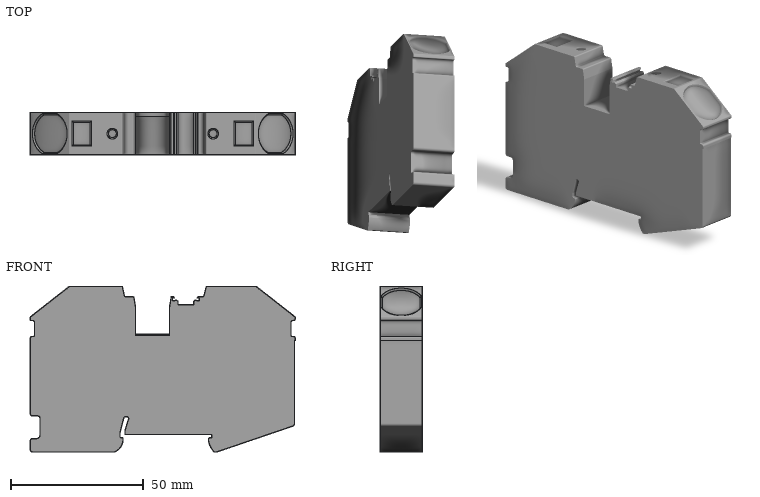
import cadquery as cq
import math

LENGTH = 100.0
WIDTH = 16.0
HEIGHT = 62.5
MID_X = LENGTH / 2

SHOULDER_Z = 50.9
SHOULDER_RUN = 14.8
SHOULDER_RISE = HEIGHT - SHOULDER_Z
SHOULDER_ANGLE = math.degrees(math.atan2(SHOULDER_RISE, SHOULDER_RUN))
SLOPE_LENGTH = math.hypot(SHOULDER_RUN, SHOULDER_RISE)
TOP_INNER_LEFT = 34.8
TOP_INNER_RIGHT = 66.4
CORNER_RADIUS = 0.5

GROOVE_DEPTH = 1.6
GROOVE_TOP = 49.6
GROOVE_BOTTOM = 43.6
EDGE_RADIUS = 0.7
GROOVE_SMALL_RADIUS = 0.3
RIGHT_WALL_X = LENGTH - 0.3
RIGHT_BEAD_BOTTOM = 42.0

NOTCH_DEPTH = 3.7
NOTCH_BOTTOM = 5.1
NOTCH_TOP = 13.6
NOTCH_RADIUS = 0.9
NOTCH_FLOOR_RADIUS = 1.4

SLOT_LEFT = 39.8
SLOT_RIGHT = 52.5
SLOT_FLOOR = 43.9
SLOT_BEND_Z = 54.6
LEDGE_WIDTH = 1.5
LEDGE_HEIGHT = 0.6

STEP_Z = 58.6
STEP_INNER_LEFT = 35.6
STEP_OUTER_LEFT = 39.1
STEP_INNER_RIGHT = 65.4
CLIP_X = 58.7
CLIP_FLOOR = 55.6

RAIL_Z = 6.6
HOOK_Z = 5.4

POCKET_DEPTH = 0.5
POCKET_TAPER = 45
WIRE_DEPTH = 0.7
WIRE_INSET = 0.5
WIRE_TAPER = math.degrees(math.atan2(WIRE_INSET, WIRE_DEPTH))
WIRE_DIAMETER = 16.6
WIRE_FLATS = 15.1
WINDOW_X = 19.4
WINDOW_SIZE = (7.3, 9.4)
SCREW_X = 31.0
SCREW_FLOOR_DIAMETER = 3.0
SCREW_RIM_DIAMETER = SCREW_FLOOR_DIAMETER + 2 * POCKET_DEPTH


def clip_half(side):
    """Points of one half of the clip channel, from the tip down to the floor; side is -1 or +1."""
    tip_to_floor = [
        (4.6, STEP_Z),
        (4.3, 58.0),
        (5.0, 58.0),
        (5.0, 57.1),
        (4.3, 57.1),
        (3.6, 57.4),
        (2.9, 56.8),
        (2.9, CLIP_FLOOR),
    ]
    return [(CLIP_X + side * offset, z) for offset, z in tip_to_floor]


def body():
    """Side outline in the XZ plane, extruded over the full width."""
    r = EDGE_RADIUS
    n = NOTCH_RADIUS
    f = NOTCH_FLOOR_RADIUS
    groove_right = LENGTH - GROOVE_DEPTH
    outline = (
        cq.Workplane("XZ")
        .moveTo(n, 0)
        .lineTo(31.8, 0)
        .threePointArc((34.3, 2.1), (35.1, 4.9))
        .lineTo(34.9, HOOK_Z)
        .lineTo(34.2, HOOK_Z)
        .lineTo(33.9, 5.7)
        .lineTo(33.9, 7.2)
        .lineTo(35.3, 12.7)
        .threePointArc((35.5, 13.1), (35.9, 13.3))
        .lineTo(36.6, 13.3)
        .threePointArc((36.9, 13.1), (36.9, 12.0))
        .lineTo(35.7, 8.0)
        .lineTo(35.7, RAIL_Z)
        .lineTo(68.4, RAIL_Z)
        .lineTo(68.4, HOOK_Z)
        .lineTo(67.6, HOOK_Z)
        .lineTo(67.2, 5.1)
        .lineTo(67.2, 4.2)
        .threePointArc((67.9, 2.1), (69.4, 0))
        .lineTo(70.4, 0)
        .lineTo(98.9, 9.7)
        .threePointArc((99.5, 10.1), (RIGHT_WALL_X, 10.8))
        .lineTo(RIGHT_WALL_X, RIGHT_BEAD_BOTTOM)
        .lineTo(LENGTH, RIGHT_BEAD_BOTTOM)
        .lineTo(LENGTH, GROOVE_BOTTOM - r)
        .radiusArc((LENGTH - r, GROOVE_BOTTOM), -r)
        .lineTo(groove_right, GROOVE_BOTTOM)
        .lineTo(groove_right, GROOVE_TOP)
        .lineTo(LENGTH - r, GROOVE_TOP)
        .radiusArc((LENGTH, GROOVE_TOP + r), -r)
        .lineTo(LENGTH, SHOULDER_Z)
        .lineTo(LENGTH - SHOULDER_RUN, HEIGHT)
        .lineTo(TOP_INNER_RIGHT, HEIGHT)
        .lineTo(STEP_INNER_RIGHT, STEP_Z)
    )
    for point in clip_half(1) + clip_half(-1)[::-1]:
        outline = outline.lineTo(*point)
    outline = (
        outline
        .lineTo(53.2, STEP_Z)
        .lineTo(SLOT_RIGHT, SLOT_BEND_Z)
        .lineTo(SLOT_RIGHT, SLOT_FLOOR)
        .lineTo(SLOT_LEFT, SLOT_FLOOR)
        .lineTo(SLOT_LEFT, SLOT_BEND_Z)
        .lineTo(STEP_OUTER_LEFT, STEP_Z)
        .lineTo(STEP_INNER_LEFT, STEP_Z)
        .lineTo(TOP_INNER_LEFT, HEIGHT)
        .lineTo(SHOULDER_RUN, HEIGHT)
        .lineTo(0, SHOULDER_Z)
        .lineTo(0, GROOVE_TOP)
        .lineTo(GROOVE_DEPTH, GROOVE_TOP)
        .lineTo(GROOVE_DEPTH, GROOVE_BOTTOM)
        .lineTo(r, GROOVE_BOTTOM)
        .radiusArc((0, GROOVE_BOTTOM - r), -r)
        .lineTo(0, NOTCH_TOP + n)
        .radiusArc((n, NOTCH_TOP), -n)
        .lineTo(NOTCH_DEPTH - n, NOTCH_TOP)
        .radiusArc((NOTCH_DEPTH, NOTCH_TOP - n), n)
        .lineTo(NOTCH_DEPTH, NOTCH_BOTTOM + f)
        .radiusArc((NOTCH_DEPTH - f, NOTCH_BOTTOM), f)
        .lineTo(n, NOTCH_BOTTOM)
        .radiusArc((0, NOTCH_BOTTOM - n), -n)
        .lineTo(0, n)
        .radiusArc((n, 0), -n)
        .close()
    )
    return outline.extrude(WIDTH / 2, both=True)


def round_corners(solid):
    """Round the edges along Y at the shoulders, steps and side grooves."""
    groove_right = LENGTH - GROOVE_DEPTH
    corners = {
        CORNER_RADIUS: [
            (SHOULDER_RUN, HEIGHT),
            (LENGTH - SHOULDER_RUN, HEIGHT),
            (TOP_INNER_LEFT, HEIGHT),
            (TOP_INNER_RIGHT, HEIGHT),
            (STEP_INNER_LEFT, STEP_Z),
            (STEP_OUTER_LEFT, STEP_Z),
            (STEP_INNER_RIGHT, STEP_Z),
            (0, SHOULDER_Z),
            (LENGTH, SHOULDER_Z),
        ],
        EDGE_RADIUS: [(GROOVE_DEPTH, GROOVE_TOP), (groove_right, GROOVE_TOP)],
        GROOVE_SMALL_RADIUS: [
            (0, GROOVE_TOP),
            (GROOVE_DEPTH, GROOVE_BOTTOM),
            (groove_right, GROOVE_BOTTOM),
        ],
    }
    for radius, places in corners.items():
        for x, z in places:
            edge = cq.selectors.NearestToPointSelector((x, 0, z))
            solid = solid.edges("|Y").edges(edge).fillet(radius)
    return solid


def slot_ledge():
    """Low ledge on the slot floor, along the +Y side."""
    return cq.Workplane("XY").box(
        SLOT_RIGHT - SLOT_LEFT, LEDGE_WIDTH, LEDGE_HEIGHT, centered=False
    ).translate((SLOT_LEFT, WIDTH / 2 - LEDGE_WIDTH, SLOT_FLOOR))


def wire_entry():
    """Round tapered pocket with two flats, sunk square to the left shoulder."""
    slope = math.radians(SHOULDER_ANGLE)
    plane = cq.Plane(
        origin=(SHOULDER_RUN / 2, 0, SHOULDER_Z + SHOULDER_RISE / 2),
        xDir=(math.cos(slope), 0, math.sin(slope)),
        normal=(-math.sin(slope), 0, math.cos(slope)),
    )
    cone = cq.Workplane(plane).circle(WIRE_DIAMETER / 2).extrude(-WIRE_DEPTH, taper=WIRE_TAPER)
    flats = cq.Workplane(plane).rect(2 * SLOPE_LENGTH, WIRE_FLATS).extrude(-WIRE_DEPTH, taper=WIRE_TAPER)
    return cone.intersect(flats)


def top_plane(x):
    """Workplane on the left flat top, centred at the given X."""
    return cq.Workplane("XY", origin=(x, 0, HEIGHT))


def left_pockets():
    """All pockets of the left half: wire entry, window and screw hole."""
    window = top_plane(WINDOW_X).rect(*WINDOW_SIZE).extrude(-POCKET_DEPTH, taper=POCKET_TAPER)
    screw = top_plane(SCREW_X).circle(SCREW_RIM_DIAMETER / 2).extrude(-POCKET_DEPTH, taper=POCKET_TAPER)
    return [wire_entry(), window, screw]


result = round_corners(body()).union(slot_ledge())
for pocket in left_pockets():
    result = result.cut(pocket)
    result = result.cut(pocket.mirror("YZ", (MID_X, 0, 0)))